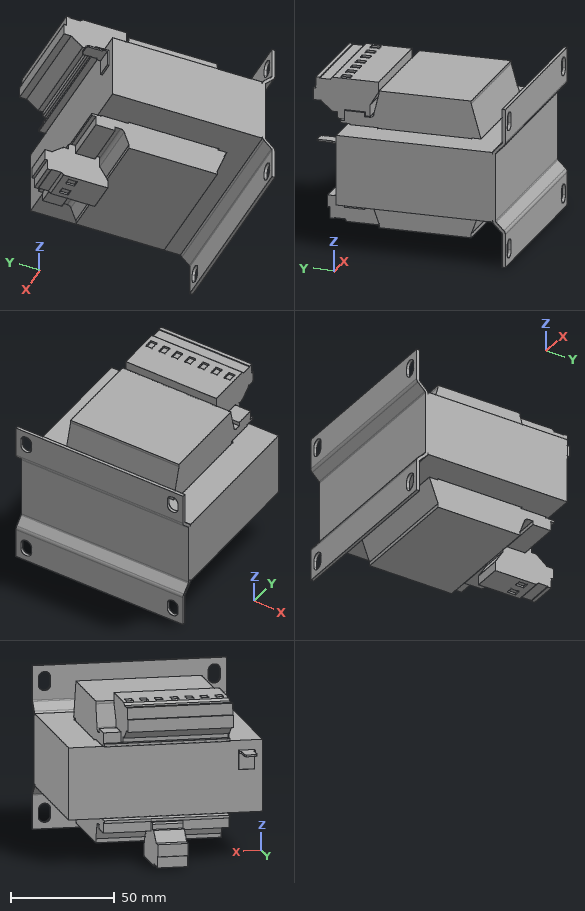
import cadquery as cq
import math

overall_width = 96.0
overall_depth = 104.0
overall_height = 81.6

sheet = 1.7
flange_offset = 5.0
flange_half_height = 40.6
web_bend_z = 17.5
bend_radius = 0.8
bend_angle = 45
slot_width = 6.0
slot_length = 9.4
slot_x = 42.0
slot_z = 32.7

core_height = 35.8
core_front_y = flange_offset + sheet
core_back_y = 86.4
limb_width = overall_width / 6
core_half = core_height / 2
window_half_width = overall_width / 2 - limb_width
window_front_y = core_front_y + limb_width
window_rear_y = core_back_y - limb_width

bobbin_width = 62.2
cover_front_y = 23.0
cover_rear_y = 70.0
cover_foot_y = 18.0
top_cover_height = 36.8
top_cover_lip = 1.4
bottom_cover_height = 33.5
bottom_cover_lip = 2.1
valley_corner_y = 73.1
valley_radius = 2.1

valley_height = 22.8
rail_height = 24.9
rail_front_y = 77.4
rail_rear_y = 87.7
lip_rear_y = 89.8
lip_front_y = 84.9
lip_top = 19.7
lip_bottom = 18.3

block_top = overall_height / 2
block_front_y = 70.6
block_front_bottom = 35.7
block_stem_y = 74.9
block_stem_shoulder = 28.7
block_top_rear_y = 94.1
hook_rear_y = 91.6
hook_bottom = 19.9
hook_top = 23.2
hook_chamfer = 0.8
ramp_start_y = 94.1
ramp_end_y = 100.3
nose_bottom = 28.2
nose_top = 34.3
rim_rear_y = 102.8
rim_front_y = 100.7
rim_top = 40.0
ledge_top = 39.6
ledge_front_y = 95.3
pole_pitch = 7.4
end_plate = 0.4
first_block_x = -29.8
pocket_width = 3.4
pocket_front_y = 85.9
pocket_rear_y = 90.5
pocket_inset = 2.0
pocket_depth = 1.0

tab_x = -39.9
tab_sheet = 0.9
tab_base_width = 7.9
tab_blade_width = 6.2
tab_top_z = 13.0
tab_bottom_z = 3.5
tab_shoulder_y = 89.6
tab_tip_y = 97.9
tab_tip_chamfer = 0.8


def extrude_profile(points, x_start, x_end):
    """Extrude a closed outline of (y, z) points from x_start to x_end."""
    return cq.Workplane("YZ").workplane(offset=x_start).polyline(points).close().extrude(x_end - x_start)


def box_between(x_range, y_range, z_range):
    """Axis-aligned box spanning the three (low, high) ranges."""
    size = [high - low for low, high in (x_range, y_range, z_range)]
    return cq.Workplane("XY").box(*size, centered=False).translate((x_range[0], y_range[0], z_range[0]))


def fillet_x_edge(body, y, z, radius):
    """Round the edge parallel to X that passes nearest to (y, z)."""
    return body.edges(cq.selectors.NearestToPointSelector((0, y, z))).fillet(radius)


def make_bracket():
    half_width = overall_width / 2
    bend_shift = sheet * math.tan(math.radians(bend_angle / 2))
    web_front = (flange_offset, web_bend_z)
    web_rear = (core_front_y, web_bend_z + bend_shift)
    flange_bend_z = web_bend_z + flange_offset / math.tan(math.radians(bend_angle))
    flange_front = (0, flange_bend_z)
    flange_rear = (sheet, flange_bend_z + bend_shift)
    front_half = [web_front, flange_front, (0, flange_half_height)]
    rear_half = [(sheet, flange_half_height), flange_rear, web_rear]
    upper = front_half + rear_half
    lower = [(y, -z) for y, z in reversed(upper)]
    bracket = extrude_profile(upper + lower, -half_width, half_width)

    outer_radius = bend_radius + sheet
    bends = (
        (web_front, bend_radius),
        (web_rear, outer_radius),
        (flange_front, outer_radius),
        (flange_rear, bend_radius),
    )
    for (y, z), radius in bends:
        for side in (1, -1):
            bracket = fillet_x_edge(bracket, y, side * z, radius)

    slots = (
        cq.Workplane("XZ")
        .rarray(2 * slot_x, 2 * slot_z, 2, 2)
        .slot2D(slot_length, slot_width, 90)
        .extrude(-sheet)
    )
    return bracket.cut(slots)


def make_core():
    half_width = overall_width / 2
    z_range = (-core_half, core_half)
    core = box_between((-half_width, half_width), (core_front_y, core_back_y), z_range)
    window_y = (window_front_y, window_rear_y)
    return core.cut(box_between((-window_half_width, window_half_width), window_y, z_range))


def make_bobbin_half(cover_height, cover_lip):
    """Upper half of the bobbin, from the core mid-plane to the top of the cover."""
    outline = [
        (window_front_y, 0),
        (window_front_y, core_half),
        (cover_foot_y, core_half),
        (cover_front_y, cover_height - cover_lip),
        (cover_front_y, cover_height),
        (cover_rear_y, cover_height),
        (cover_rear_y, cover_height - cover_lip),
        (valley_corner_y, valley_height),
        (rail_front_y, valley_height),
        (rail_front_y, rail_height),
        (rail_rear_y, rail_height),
        (rail_rear_y, lip_top),
        (lip_rear_y, lip_top),
        (lip_rear_y, lip_bottom),
        (lip_front_y, lip_bottom),
        (lip_front_y, core_half),
        (window_rear_y, core_half),
        (window_rear_y, 0),
    ]
    half = extrude_profile(outline, -bobbin_width / 2, bobbin_width / 2)
    return fillet_x_edge(half, valley_corner_y, valley_height, valley_radius)


def make_terminal_block(x_start, poles, plate):
    """Upper terminal block: one conductor pocket per pole, plus an optional end plate."""
    outline = [
        (block_front_y, block_top),
        (block_front_y, block_front_bottom),
        (block_stem_y, block_stem_shoulder),
        (block_stem_y, valley_height),
        (rail_front_y, valley_height),
        (rail_front_y, rail_height),
        (rail_rear_y, rail_height),
        (rail_rear_y, hook_bottom),
        (hook_rear_y - hook_chamfer, hook_bottom),
        (hook_rear_y, hook_bottom + hook_chamfer),
        (hook_rear_y, hook_top),
        (ramp_start_y, hook_top),
        (ramp_end_y, nose_bottom),
        (overall_depth, nose_bottom),
        (overall_depth, nose_top),
        (rim_rear_y, nose_top),
        (rim_rear_y, rim_top),
        (rim_front_y, rim_top),
        (rim_front_y, ledge_top),
        (ledge_front_y, ledge_top),
        (block_top_rear_y, block_top),
    ]
    block = extrude_profile(outline, x_start, x_start + poles * pole_pitch + plate)
    for pole in range(poles):
        pocket_x = x_start + pole * pole_pitch + pocket_inset
        pocket = box_between(
            (pocket_x, pocket_x + pocket_width),
            (pocket_front_y, pocket_rear_y),
            (block_top - pocket_depth, block_top),
        )
        block = block.cut(pocket)
    return block


def make_earth_tab():
    base_x = (tab_x - tab_base_width / 2, tab_x + tab_base_width / 2)
    blade_x = (tab_x - tab_blade_width / 2, tab_x + tab_blade_width / 2)
    blade_z = (tab_top_z - tab_sheet, tab_top_z)
    leg = box_between(base_x, (core_back_y, core_back_y + tab_sheet), (tab_bottom_z, tab_top_z))
    shoulder = box_between(base_x, (core_back_y, tab_shoulder_y), blade_z)
    blade = box_between(blade_x, (core_back_y, tab_tip_y), blade_z)
    blade = blade.faces(">Y").edges("|Z").chamfer(tab_tip_chamfer)
    return leg.union(shoulder).union(blade)


def flip(body):
    """Mirror a body to the underside."""
    return body.mirror("XY")


result = make_bracket().union(make_core())
result = result.union(make_bobbin_half(top_cover_height, top_cover_lip))
result = result.union(flip(make_bobbin_half(bottom_cover_height, bottom_cover_lip)))

block_x = first_block_x
for pole_count, plate_width in ((2, 0), (2, end_plate), (3, 0)):
    result = result.union(make_terminal_block(block_x, pole_count, plate_width))
    block_x += pole_count * pole_pitch + plate_width

lower_block_x = -(2 * pole_pitch + end_plate) / 2
result = result.union(flip(make_terminal_block(lower_block_x, 2, end_plate)))

result = result.union(make_earth_tab())